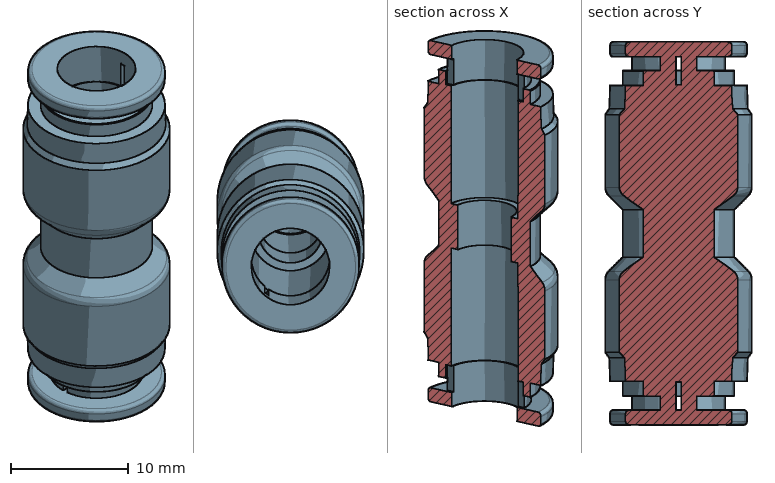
import cadquery as cq
import math

total_length = 32.6
half_length = total_length / 2

flange_radius = 5.85
flange_thickness = 1.3
flange_fillet = 0.33

neck_radius = 3.98
slot_width = 0.42
collar_radius = 4.75
collar_depth = 2.45
collar_chamfer = 0.05

cap_depth = 3.72
cap_top_radius = 5.85
cap_base_radius = 5.9
cap_base_depth = 5.7
barrel_diameter = 12.5
barrel_radius = barrel_diameter / 2
barrel_depth = 6.2
barrel_fillet = 1.0

cone_angle = math.radians(45)
waist_radius = collar_radius
waist_depth = 14.28
cone_depth = waist_depth - (barrel_radius - waist_radius) / math.tan(cone_angle)

collet_bore_radius = 3.33
collet_end_depth = 3.65
tube_bore_radius = 3.42
tube_bore_depth = waist_depth
through_radius = 2.75


def disc(radius, start_depth, end_depth):
    """Cylinder on the Z axis between two depths."""
    height = end_depth - start_depth
    return cq.Workplane("XY").workplane(offset=half_length - end_depth).circle(radius).extrude(height)


def make_flange():
    return disc(flange_radius, 0, flange_thickness).edges().fillet(flange_fillet)


def make_collar():
    return disc(collar_radius, collar_depth, cap_depth).faces(">Z").edges().chamfer(collar_chamfer)


def make_body():
    """Cap, barrel and cone, with the barrel-to-cone corner rounded."""
    arc_half_sweep = cone_angle / 2
    tangent = barrel_fillet * math.tan(arc_half_sweep)
    arc_centre_radius = barrel_radius - barrel_fillet
    arc_start_depth = cone_depth - tangent
    arc_middle = (
        arc_centre_radius + barrel_fillet * math.cos(arc_half_sweep),
        half_length - arc_start_depth - barrel_fillet * math.sin(arc_half_sweep),
    )
    arc_end = (
        barrel_radius - tangent * math.sin(cone_angle),
        half_length - cone_depth - tangent * math.cos(cone_angle),
    )
    return (
        cq.Workplane("XZ")
        .moveTo(0, half_length - cap_depth)
        .lineTo(cap_top_radius, half_length - cap_depth)
        .lineTo(cap_base_radius, half_length - cap_base_depth)
        .lineTo(barrel_radius, half_length - barrel_depth)
        .lineTo(barrel_radius, half_length - arc_start_depth)
        .threePointArc(arc_middle, arc_end)
        .lineTo(waist_radius, half_length - waist_depth)
        .lineTo(0, half_length - waist_depth)
        .close()
        .revolve(360, (0, 0), (0, 1))
    )


def make_slot():
    """Slot splitting the collet on both Y sides, contained within the neck radius."""
    slot_height = collet_end_depth - flange_thickness
    slot_middle = half_length - (flange_thickness + collet_end_depth) / 2
    blade = cq.Workplane("XY").box(slot_width, 2 * neck_radius, slot_height)
    blade = blade.translate((0, 0, slot_middle))
    return blade.intersect(disc(neck_radius, flange_thickness, collet_end_depth))


def make_socket():
    """Complete upper end of the fitting, down to the start of the waist."""
    socket = make_body().union(make_collar()).union(make_flange())
    socket = socket.union(disc(neck_radius, flange_thickness / 2, cap_depth))
    socket = socket.cut(disc(collet_bore_radius, 0, collet_end_depth))
    socket = socket.cut(disc(tube_bore_radius, collet_end_depth, tube_bore_depth))
    return socket.cut(make_slot())


upper_socket = make_socket()
lower_socket = upper_socket.mirror("XY")
waist = disc(waist_radius, waist_depth, total_length - waist_depth)
through_bore = disc(through_radius, 0, total_length)
result = waist.union(upper_socket).union(lower_socket).cut(through_bore)